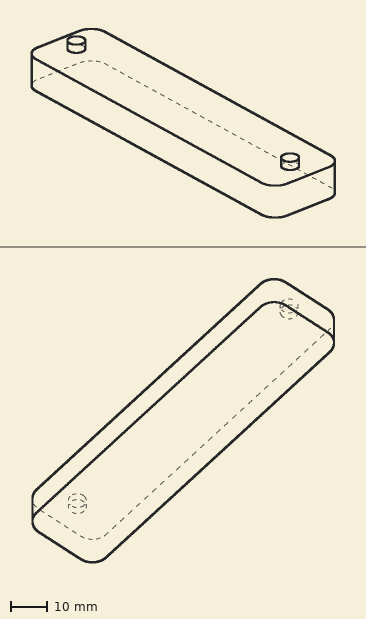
import cadquery as cq

block_length = 106.0
block_width = 25.0
block_height = 10.0
corner_radius = 5.0

pin_diameter = 5.0
pin_height = 2.5
pin_end_distance = 7.5
pin_spacing = block_length - 2 * pin_end_distance


def make_block():
    """Bar resting on the XY plane, centred on the Z axis."""
    return (
        cq.Workplane("XY")
        .box(block_length, block_width, block_height, centered=(True, True, False))
        .edges("|Z")
        .fillet(corner_radius)
    )


def add_pins(block):
    """Two round pins on the long centreline of the top face."""
    return (
        block.faces(">Z")
        .workplane(origin=(0, 0, block_height))
        .rarray(pin_spacing, 1.1, 2, 1)
        .circle(pin_diameter / 2)
        .extrude(pin_height)
    )


result = add_pins(make_block())